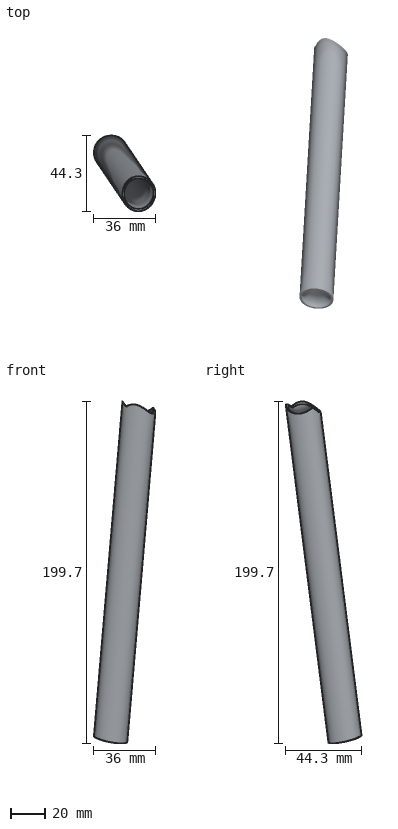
import cadquery as cq
import math

TUBE_DIAMETER = 19.85
WALL = 1.2
LEAN_X = 0.0852
LEAN_Y = -0.1263
NODE_DISTANCE = 205.0

RAIL_RADIUS = 11.9
RAIL_LENGTH = 40.0
SIDE_RAIL_AZIMUTH = 90.0
SIDE_RAIL_ELEVATION = -1.7
CROSS_RAIL_AZIMUTH = -14.7
CROSS_RAIL_ELEVATION = -7.2

FOOT_SLOPE_X = -0.186
FOOT_SLOPE_Y = 0.223
FOOT_ALLOWANCE = 5.0
FOOT_CUTTER_WIDTH = 3 * TUBE_DIAMETER
FOOT_CUTTER_DEPTH = 30.0

ORIGIN = cq.Vector(0, 0, 0)
TUBE_AXIS = cq.Vector(LEAN_X, LEAN_Y, 1).normalized()


def direction(azimuth, elevation):
    """Unit vector at an azimuth from +X and an elevation above the XY plane."""
    turn = math.radians(azimuth)
    rise = math.radians(elevation)
    level = math.cos(rise)
    return cq.Vector(math.cos(turn) * level, math.sin(turn) * level, math.sin(rise))


def plane_facing(origin, normal):
    """Sketch plane with the given normal; its local X direction lies in the XZ plane."""
    across = cq.Vector(0, 1, 0) if abs(normal.y) < abs(normal.z) else cq.Vector(0, 0, 1)
    return cq.Plane(origin, across.cross(normal), normal)


def make_tube():
    """Straight tube along the leaning axis, long at both ends."""
    start = TUBE_AXIS * -FOOT_ALLOWANCE
    outer_radius = TUBE_DIAMETER / 2
    profile = cq.Workplane(plane_facing(start, TUBE_AXIS)).circle(outer_radius).circle(outer_radius - WALL)
    return profile.extrude(NODE_DISTANCE + FOOT_ALLOWANCE)


def make_rail_corner():
    """Two solid round rails meeting in a mitre on the tube axis."""
    node = TUBE_AXIS * NODE_DISTANCE
    side = direction(SIDE_RAIL_AZIMUTH, SIDE_RAIL_ELEVATION)
    cross = direction(CROSS_RAIL_AZIMUTH, CROSS_RAIL_ELEVATION)
    side_end = node + side * RAIL_LENGTH
    cross_end = node + cross * RAIL_LENGTH
    path = cq.Workplane().polyline([side_end.toTuple(), node.toTuple(), cross_end.toTuple()])
    section = cq.Workplane(plane_facing(side_end, side * -1)).circle(RAIL_RADIUS)
    return section.sweep(path, transition="right")


def make_foot_cutter():
    """Block below the sloping plane of the lower end."""
    downward = cq.Vector(FOOT_SLOPE_X, FOOT_SLOPE_Y, -1)
    face = cq.Workplane(plane_facing(ORIGIN, downward)).rect(FOOT_CUTTER_WIDTH, FOOT_CUTTER_WIDTH)
    return face.extrude(FOOT_CUTTER_DEPTH)


result = make_tube().cut(make_rail_corner()).cut(make_foot_cutter())